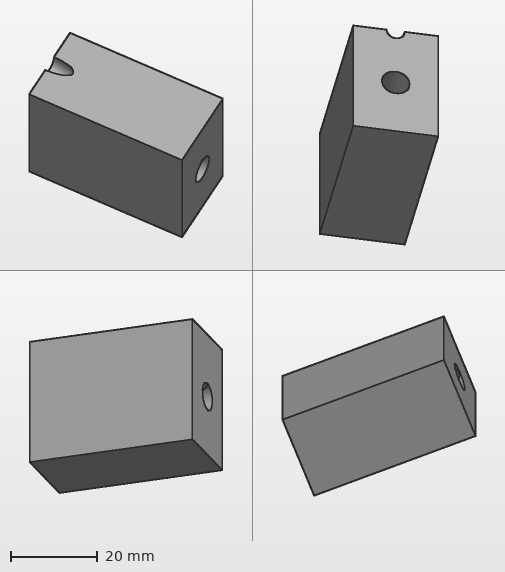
import cadquery as cq
import math

length = 40.0
width = 20.0
height = 30.0

bore_diameter = 6.5
bore_height = 14.5

feed_diameter = 4.2
feed_angle = 20.0


def make_block():
    return cq.Workplane("XY").box(length, width, height, centered=(True, True, False))


def make_bore():
    """Cylinder through the full length of the block."""
    return (
        cq.Workplane("YZ", origin=(-length / 2, 0, bore_height))
        .circle(bore_diameter / 2)
        .extrude(length)
    )


def make_feed_hole():
    """Cylinder whose axis crosses the middle of the top -X edge and descends toward +X."""
    slope = math.radians(feed_angle)
    axis = cq.Vector(math.cos(slope), 0, -math.sin(slope))
    edge_middle = cq.Vector(-length / 2, 0, height)
    start = edge_middle - axis * feed_diameter
    axis_length_in_block = length / math.cos(slope)
    feed_length = axis_length_in_block + 2 * feed_diameter
    return cq.Workplane(cq.Solid.makeCylinder(feed_diameter / 2, feed_length, start, axis))


result = make_block().cut(make_bore()).cut(make_feed_hole())